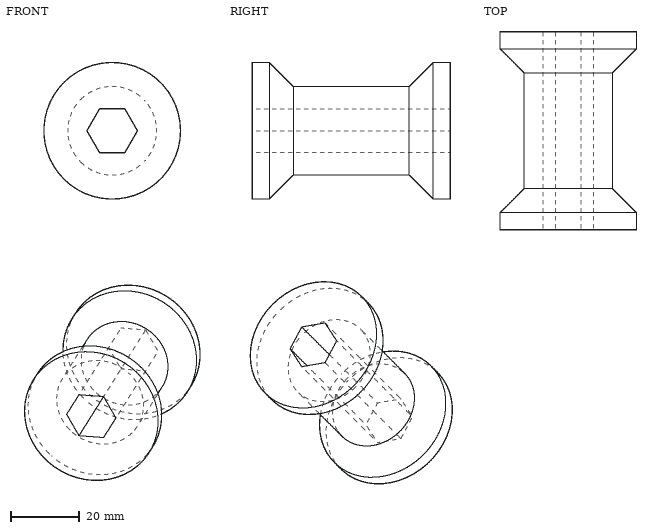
import cadquery as cq
import math

length = 58.0
flange_diameter = 40.0
barrel_diameter = 26.0
rim_width = 5.05
hex_across_flats = 12.75

flange_radius = flange_diameter / 2
barrel_radius = barrel_diameter / 2
half_length = length / 2
rim_inner_y = half_length - rim_width
barrel_end_y = rim_inner_y - (flange_radius - barrel_radius)


def make_spool():
    """Revolve the half profile (radius along X) about the Y axis."""
    profile = [
        (0, -half_length),
        (flange_radius, -half_length),
        (flange_radius, -rim_inner_y),
        (barrel_radius, -barrel_end_y),
        (barrel_radius, barrel_end_y),
        (flange_radius, rim_inner_y),
        (flange_radius, half_length),
        (0, half_length),
    ]
    return cq.Workplane("XY").polyline(profile).close().revolve(360, (0, 0, 0), (0, 1, 0))


def make_hex_bore():
    """Full-length hexagonal bore with two corners on the X axis."""
    across_corners = hex_across_flats / math.cos(math.radians(30))
    return cq.Workplane("XZ").polygon(6, across_corners).extrude(half_length, both=True)


result = make_spool().cut(make_hex_bore())